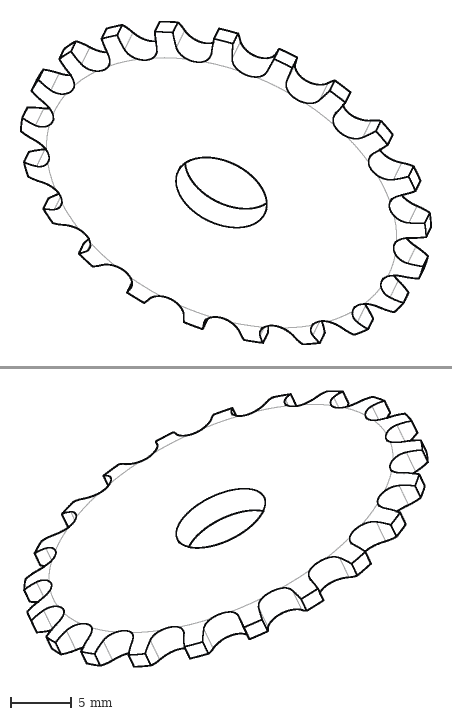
import cadquery as cq
import math

tooth_count = 21
overall_width = 35.68
thickness = 2.3
bore_diameter = 8.0

face_radius = 15.4
tip_thickness = 1.25
tip_width = 1.68

pitch_radius = 16.8
seat_radius = 1.6

pitch_angle = 2 * math.pi / tooth_count

lean_angle = pitch_angle / 4
tip_corner_height = (
    overall_width / 2 - tip_width / 2 * math.sin(lean_angle)
) / math.cos(lean_angle)
tip_radius = math.hypot(tip_corner_height, tip_width / 2)


def relief_midpoint():
    """Middle of the +Y relief arc, which leaves the side face tangentially, as (Y, radius)."""
    rise = tip_radius - face_radius
    inset = (thickness - tip_thickness) / 2
    relief_radius = (rise**2 + inset**2) / (2 * inset)
    half_sweep = math.asin(rise / relief_radius) / 2
    return (
        thickness / 2 - relief_radius * (1 - math.cos(half_sweep)),
        face_radius + relief_radius * math.sin(half_sweep),
    )


def make_blank():
    """Bored disc whose rim narrows along a relief arc on each side."""
    half_thickness = thickness / 2
    half_tip = tip_thickness / 2
    bore_radius = bore_diameter / 2
    mid_y, mid_radius = relief_midpoint()
    return (
        cq.Workplane("YZ")
        .moveTo(-half_thickness, bore_radius)
        .lineTo(-half_thickness, face_radius)
        .threePointArc((-mid_y, mid_radius), (-half_tip, tip_radius))
        .lineTo(half_tip, tip_radius)
        .threePointArc((mid_y, mid_radius), (half_thickness, face_radius))
        .lineTo(half_thickness, bore_radius)
        .close()
        .revolve(360, (0, 0, 0), (1, 0, 0))
    )


def make_gap():
    """Cutter for one tooth gap, pointing to +Z: a round seat with tangent flanks."""
    corner_angle = pitch_angle / 2 - math.asin(tip_width / 2 / tip_radius)
    corner_x = tip_radius * math.sin(corner_angle)
    corner_z = tip_radius * math.cos(corner_angle)

    corner_distance = math.hypot(corner_x, corner_z - pitch_radius)
    corner_direction = math.atan2(corner_z - pitch_radius, corner_x)
    touch_direction = corner_direction - math.acos(seat_radius / corner_distance)
    touch_x = seat_radius * math.cos(touch_direction)
    touch_z = pitch_radius + seat_radius * math.sin(touch_direction)

    outer_x = 2 * corner_x - touch_x
    outer_z = 2 * corner_z - touch_z
    return (
        cq.Workplane("XZ")
        .moveTo(-outer_x, outer_z)
        .lineTo(-touch_x, touch_z)
        .threePointArc((0, pitch_radius - seat_radius), (touch_x, touch_z))
        .lineTo(outer_x, outer_z)
        .close()
        .extrude(thickness, both=True)
    )


result = make_blank()
gap = make_gap()
for index in range(tooth_count):
    gap_angle = (index + 0.5) * pitch_angle
    result = result.cut(gap.rotate((0, 0, 0), (0, 1, 0), math.degrees(gap_angle)))